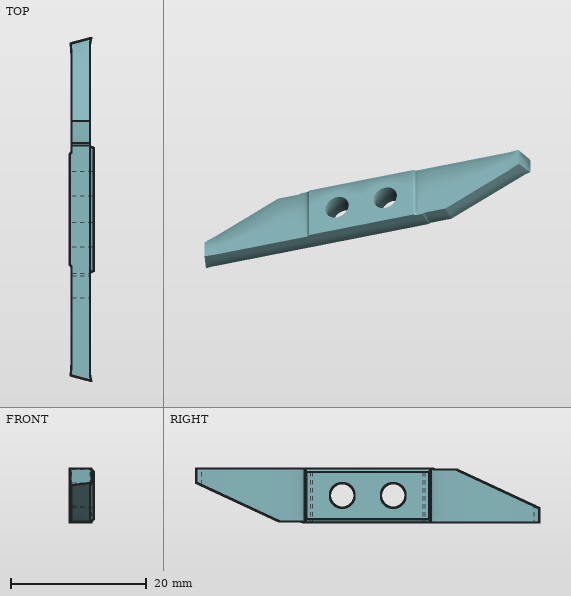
import cadquery as cq
import math

LENGTH = 50.5
HEIGHT = 8.0
THICKNESS = 3.6

SEAT_X = -THICKNESS / 2
WEB_BACK_X = SEAT_X + 0.28
WEB_FRONT_X = SEAT_X + 3.05
TIP_BACK_X = SEAT_X + 0.16
TIP_FRONT_X = SEAT_X + 3.2
PAD_X = THICKNESS / 2

RELIEF_DEPTH = 0.15
RELIEF_START_Y = 9.4
RELIEF_END_Y = 9.8
TAPER_START_Y = 13.0
TAPER_ANGLE = 25.0

FLARE_START_Y = 22.65
TIP_END_ANGLE = 15.0
LIP_LENGTH = 0.8

SEAT_HALF_LENGTH = 8.1
SEAT_BEVEL_LENGTH = 0.32
PAD_HALF_LENGTH = 9.28
PAD_END_INSET = 0.25
PAD_EDGE_INSET = PAD_X - WEB_FRONT_X

HOLE_DIAMETER = 3.6
HOLE_SPACING = 7.5


def half_turn(points):
    """Append the points turned by 180 degrees about the origin."""
    return points + [(-u, -v) for u, v in points]


def mirrored_in_y(points):
    """Append the points mirrored in Y, in reverse order."""
    return points + [(x, -y) for x, y in reversed(points)]


def side_profile():
    """Outline in the YZ plane, extruded over the full thickness."""
    half_length = LENGTH / 2
    top = HEIGHT / 2
    relief_z = top - RELIEF_DEPTH
    tip_z = relief_z - (half_length - TAPER_START_Y) * math.tan(math.radians(TAPER_ANGLE))
    points = [
        (-half_length, top),
        (RELIEF_START_Y, top),
        (RELIEF_END_Y, relief_z),
        (TAPER_START_Y, relief_z),
        (half_length, tip_z),
    ]
    outline = cq.Workplane("YZ").workplane(offset=SEAT_X).polyline(half_turn(points)).close()
    return outline.extrude(THICKNESS)


def plan_profile():
    """Outline in the XY plane with seat, web and flared tips, extruded over the full height."""
    half_length = LENGTH / 2
    end_drop = (TIP_FRONT_X - TIP_BACK_X) * math.tan(math.radians(TIP_END_ANGLE))
    points = [
        (WEB_FRONT_X, half_length - LIP_LENGTH),
        (TIP_FRONT_X, half_length),
        (TIP_BACK_X, half_length - end_drop),
        (WEB_BACK_X, FLARE_START_Y),
        (WEB_BACK_X, SEAT_HALF_LENGTH + SEAT_BEVEL_LENGTH),
        (SEAT_X, SEAT_HALF_LENGTH),
    ]
    outline = cq.Workplane("XY").workplane(offset=-HEIGHT / 2).polyline(mirrored_in_y(points)).close()
    return outline.extrude(HEIGHT)


def pad_wedge(plane, base_half_width, inset, reach):
    """Trapezoid narrowing from the web to the pad face, extruded both ways from the plane."""
    face_half_width = base_half_width - inset
    points = [
        (WEB_FRONT_X, -base_half_width),
        (PAD_X, -face_half_width),
        (PAD_X, face_half_width),
        (WEB_FRONT_X, base_half_width),
    ]
    return cq.Workplane(plane).polyline(points).close().extrude(reach, both=True)


def pad():
    """Raised pad on the +X side with four sloping walls."""
    plan = pad_wedge("XY", PAD_HALF_LENGTH, PAD_END_INSET, HEIGHT)
    section = pad_wedge("XZ", HEIGHT / 2, PAD_EDGE_INSET, LENGTH)
    return plan.intersect(section)


def screw_holes():
    """Two through holes along X, centred on the part."""
    return (
        cq.Workplane("YZ")
        .workplane(offset=SEAT_X)
        .rarray(HOLE_SPACING, 1, 2, 1)
        .circle(HOLE_DIAMETER / 2)
        .extrude(THICKNESS)
    )


blade = side_profile().intersect(plan_profile())
result = blade.union(pad()).cut(screw_holes())